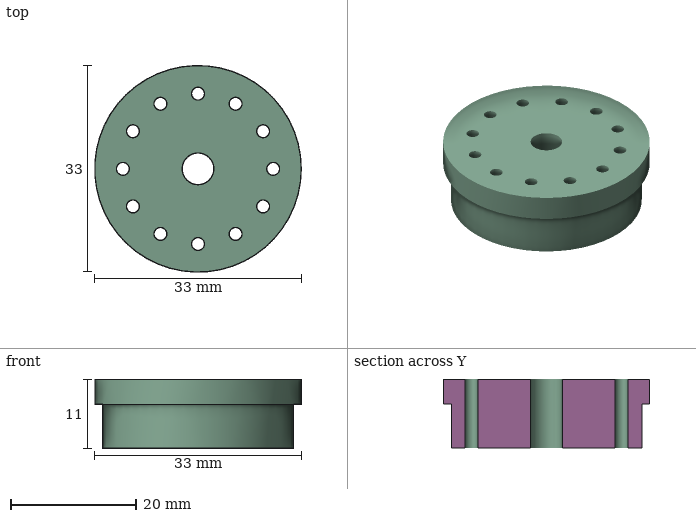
import cadquery as cq

flange_diameter = 33.0
body_diameter = 30.5
total_height = 11.0
flange_height = 4.0
bore_diameter = 5.0
small_hole_diameter = 2.0
small_hole_circle_diameter = 24.0
small_hole_count = 12

body_height = total_height - flange_height


def stepped_disc():
    """Round body standing on Z = 0 with a wider flange on top."""
    body = cq.Workplane("XY").circle(body_diameter / 2).extrude(body_height)
    flange = (
        cq.Workplane("XY")
        .workplane(offset=body_height)
        .circle(flange_diameter / 2)
        .extrude(flange_height)
    )
    return body.union(flange)


def central_bore():
    """Cutter for the bore through the full height."""
    return cq.Workplane("XY").circle(bore_diameter / 2).extrude(total_height)


def ring_of_holes():
    """Cutter for the evenly spaced through holes; the first lies on +X."""
    return (
        cq.Workplane("XY")
        .polarArray(small_hole_circle_diameter / 2, 0, 360, small_hole_count)
        .circle(small_hole_diameter / 2)
        .extrude(total_height)
    )


result = stepped_disc().cut(central_bore()).cut(ring_of_holes())